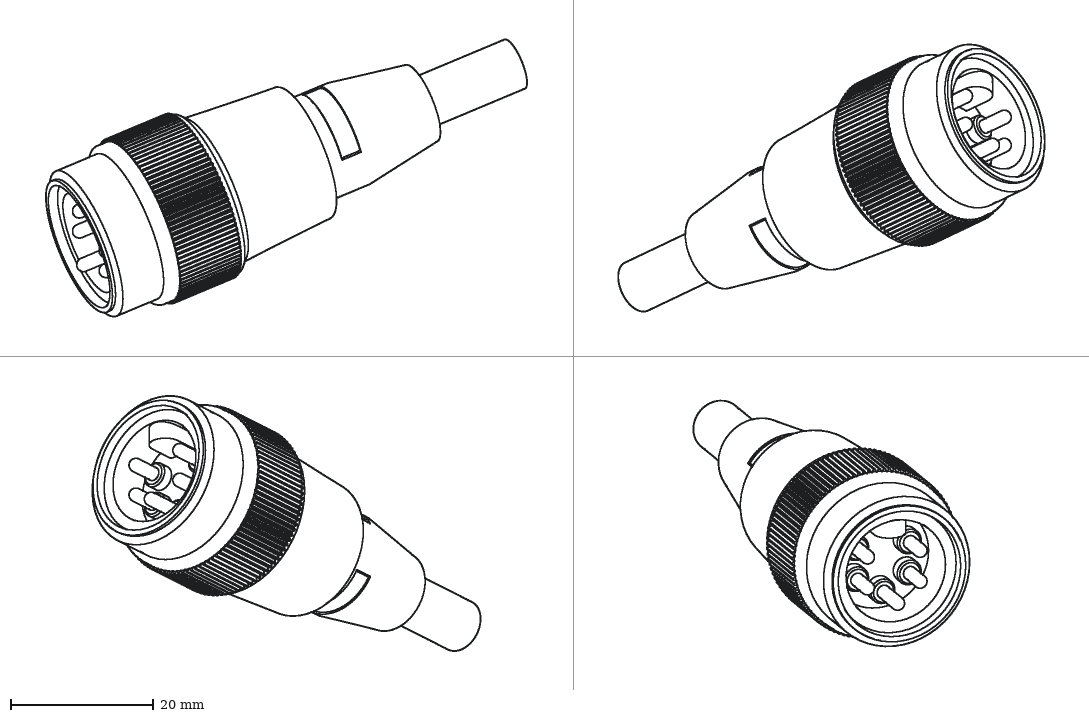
import cadquery as cq
import math


RIM_RADIUS = 10.0
RIM_LENGTH = 0.5
BARREL_RADIUS = 11.05
BARREL_CHAMFER_LENGTH = 0.6
RING_RADIUS = 12.1
RING_FRONT = 7.6
RING_BACK = 20.0
RING_FILLET = 0.6
SLEEVE_FRONT_RADIUS = 11.0
SLEEVE_BACK_RADIUS = 10.0
SLEEVE_FRONT = RING_BACK + RING_RADIUS - SLEEVE_FRONT_RADIUS
SLEEVE_FILLET = 0.4
SHELL_BACK = 35.85
MOUTH_RADIUS = 9.25

TOOTH_COUNT = 100
KNURL_FRONT = 9.6
KNURL_LENGTH = 9.6
KNURL_BACK = KNURL_FRONT + KNURL_LENGTH
KNURL_RADIUS = 25.0 / 2
VALLEY_RADIUS = 12.05
TOOTH_TIP_WIDTH = 0.2
TOOTH_GAP = 0.1
TOOTH_BASE_WIDTH = 2 * math.pi * VALLEY_RADIUS / TOOTH_COUNT - TOOTH_GAP
TOOTH_ROOT = 0.015

INSERT_RADIUS = 9.1
INSERT_FRONT = 1.4
INSERT_BACK = KNURL_BACK
SOCKET_RADIUS = 7.5
SOCKET_FLOOR = 7.85
BOOT_RADIUS = 7.7
BOOT_TIP_RADIUS = 5.85
BOOT_TAPER_START = 42.9
BOOT_BACK = 54.4
CABLE_RADIUS = 3.75
CABLE_BACK = 69.3

GRIP_FRONT = 38.4
GRIP_BACK = 41.4
GRIP_FLOOR_RADIUS = 7.45
GRIP_EDGE_HEIGHT = 4.1

KEY_WIDTH = 4.6
KEY_BOTTOM = 4.9
KEY_SETBACK = 0.15
KEY_FRONT = INSERT_FRONT + KEY_SETBACK

PIN_RADIUS = 1.0
PIN_CIRCLE_RADIUS = 4.6
PIN_ANGLES = [30, 150, 210, 330]
PIN_TIP = 1.2
LONG_PIN_ANGLE = 270
OVERALL_LENGTH = 69.6
LONG_PIN_TIP = CABLE_BACK - OVERALL_LENGTH
COLLAR_RADIUS = 1.8
COLLAR_CHAMFER = 0.3
COLLAR_FRONT = 6.05

HALF_ARC = math.sqrt(0.5)


def rod(radius, front, back):
    """Round bar on the connector axis from Y = front to Y = back."""
    return cq.Workplane("XZ", origin=(0, front, 0)).circle(radius).extrude(front - back)


def revolve_about_axis(outline):
    """Solid of revolution about Y from an open outline drawn in XY."""
    return outline.close().revolve(360, (0, 0, 0), (0, 1, 0))




def make_shell_blank():
    """Solid outer form of the barrel, ring and sleeve."""
    ring_inset = RING_FILLET * (1 - HALF_ARC)
    sleeve_inset = SLEEVE_FILLET * (1 - HALF_ARC)
    outline = (
        cq.Workplane("XY")
        .lineTo(RIM_RADIUS, 0)
        .lineTo(RIM_RADIUS, RIM_LENGTH)
        .lineTo(BARREL_RADIUS, RIM_LENGTH + BARREL_CHAMFER_LENGTH)
        .lineTo(BARREL_RADIUS, RING_FRONT)
        .lineTo(RING_RADIUS - RING_FILLET, RING_FRONT)
        .threePointArc(
            (RING_RADIUS - ring_inset, RING_FRONT + ring_inset),
            (RING_RADIUS, RING_FRONT + RING_FILLET),
        )
        .lineTo(RING_RADIUS, RING_BACK)
        .lineTo(SLEEVE_FRONT_RADIUS, SLEEVE_FRONT)
        .lineTo(SLEEVE_BACK_RADIUS, SHELL_BACK - SLEEVE_FILLET)
        .threePointArc(
            (SLEEVE_BACK_RADIUS - sleeve_inset, SHELL_BACK - sleeve_inset),
            (SLEEVE_BACK_RADIUS - SLEEVE_FILLET, SHELL_BACK),
        )
        .lineTo(0, SHELL_BACK)
    )
    return revolve_about_axis(outline)


def make_knurl_groove():
    """Band of material cleared from the ring to make room for the teeth."""
    return rod(KNURL_RADIUS, KNURL_FRONT, KNURL_BACK).cut(rod(VALLEY_RADIUS, KNURL_FRONT, KNURL_BACK))


def make_knurl_teeth():
    """Straight blunt teeth spaced evenly around the ring."""
    root_radius = VALLEY_RADIUS - TOOTH_ROOT
    tip_half_width = TOOTH_TIP_WIDTH / 2
    flank_slope = (TOOTH_BASE_WIDTH / 2 - tip_half_width) / (KNURL_RADIUS - VALLEY_RADIUS)
    root_half_width = tip_half_width + flank_slope * (KNURL_RADIUS - root_radius)
    tooth = (
        cq.Workplane("XZ", origin=(0, KNURL_FRONT, 0))
        .moveTo(-tip_half_width, KNURL_RADIUS)
        .lineTo(tip_half_width, KNURL_RADIUS)
        .lineTo(root_half_width, root_radius)
        .lineTo(-root_half_width, root_radius)
        .close()
        .extrude(-KNURL_LENGTH)
    )
    pitch = 360 / TOOTH_COUNT
    return [tooth.rotate((0, 0, 0), (0, 1, 0), i * pitch).val() for i in range(TOOTH_COUNT)]


def make_shell_bore():
    """Tapered mouth, insert seat and boot passage."""
    outline = (
        cq.Workplane("XY")
        .lineTo(MOUTH_RADIUS, 0)
        .lineTo(INSERT_RADIUS, INSERT_FRONT)
        .lineTo(INSERT_RADIUS, INSERT_BACK)
        .lineTo(BOOT_RADIUS, INSERT_BACK)
        .lineTo(BOOT_RADIUS, SHELL_BACK)
        .lineTo(0, SHELL_BACK)
    )
    return revolve_about_axis(outline)


def make_shell():
    """Barrel, knurled ring and sleeve, bored to fit the core."""
    blank = make_shell_blank().cut(make_knurl_groove())
    knurled = blank.val().fuse(*make_knurl_teeth())
    return cq.Workplane(knurled).cut(make_shell_bore())




def make_core_blank():
    """Solid outer form of the insert, boot and cable."""
    outline = (
        cq.Workplane("XY")
        .moveTo(0, INSERT_FRONT)
        .lineTo(INSERT_RADIUS, INSERT_FRONT)
        .lineTo(INSERT_RADIUS, INSERT_BACK)
        .lineTo(BOOT_RADIUS, INSERT_BACK)
        .lineTo(BOOT_RADIUS, BOOT_TAPER_START)
        .lineTo(BOOT_TIP_RADIUS, BOOT_BACK)
        .lineTo(CABLE_RADIUS, BOOT_BACK)
        .lineTo(CABLE_RADIUS, CABLE_BACK)
        .lineTo(0, CABLE_BACK)
    )
    return revolve_about_axis(outline)


def make_grip_recesses():
    """Curved cuts above and below the boot, ending in level walls."""
    band = rod(BOOT_RADIUS, GRIP_FRONT, GRIP_BACK).cut(rod(GRIP_FLOOR_RADIUS, GRIP_FRONT, GRIP_BACK))
    uncut_sides = cq.Workplane("XY").box(2 * BOOT_RADIUS, 2 * GRIP_BACK, 2 * GRIP_EDGE_HEIGHT)
    return band.cut(uncut_sides)


def make_key():
    """Round-nosed bar along the top of the socket."""
    half_width = KEY_WIDTH / 2
    nose_back = KEY_FRONT + half_width
    return (
        cq.Workplane("XY", origin=(0, 0, KEY_BOTTOM))
        .moveTo(-half_width, SOCKET_FLOOR)
        .lineTo(-half_width, nose_back)
        .threePointArc((0, KEY_FRONT), (half_width, nose_back))
        .lineTo(half_width, SOCKET_FLOOR)
        .close()
        .extrude(SOCKET_RADIUS)
    )


def make_socket():
    """Round cavity in the insert, less the key."""
    return rod(SOCKET_RADIUS, INSERT_FRONT, SOCKET_FLOOR).cut(make_key())


def make_pin(angle, tip):
    """Ball-nosed contact on a chamfered collar that stands on the socket floor."""
    outline = (
        cq.Workplane("XY")
        .moveTo(0, tip)
        .threePointArc(
            (PIN_RADIUS * HALF_ARC, tip + PIN_RADIUS * (1 - HALF_ARC)),
            (PIN_RADIUS, tip + PIN_RADIUS),
        )
        .lineTo(PIN_RADIUS, COLLAR_FRONT)
        .lineTo(COLLAR_RADIUS - COLLAR_CHAMFER, COLLAR_FRONT)
        .lineTo(COLLAR_RADIUS, COLLAR_FRONT + COLLAR_CHAMFER)
        .lineTo(COLLAR_RADIUS, SOCKET_FLOOR)
        .lineTo(0, SOCKET_FLOOR)
    )
    direction = math.radians(angle)
    x = PIN_CIRCLE_RADIUS * math.cos(direction)
    z = PIN_CIRCLE_RADIUS * math.sin(direction)
    return revolve_about_axis(outline).translate((x, 0, z))


def make_core():
    """Contact insert with key and pins, continuing back into the boot and cable."""
    core = make_core_blank().cut(make_socket()).cut(make_grip_recesses())
    for angle in PIN_ANGLES:
        core = core.union(make_pin(angle, PIN_TIP))
    return core.union(make_pin(LONG_PIN_ANGLE, LONG_PIN_TIP))


shell = make_shell()
core = make_core()

result = cq.Compound.makeCompound([shell.val(), core.val()])